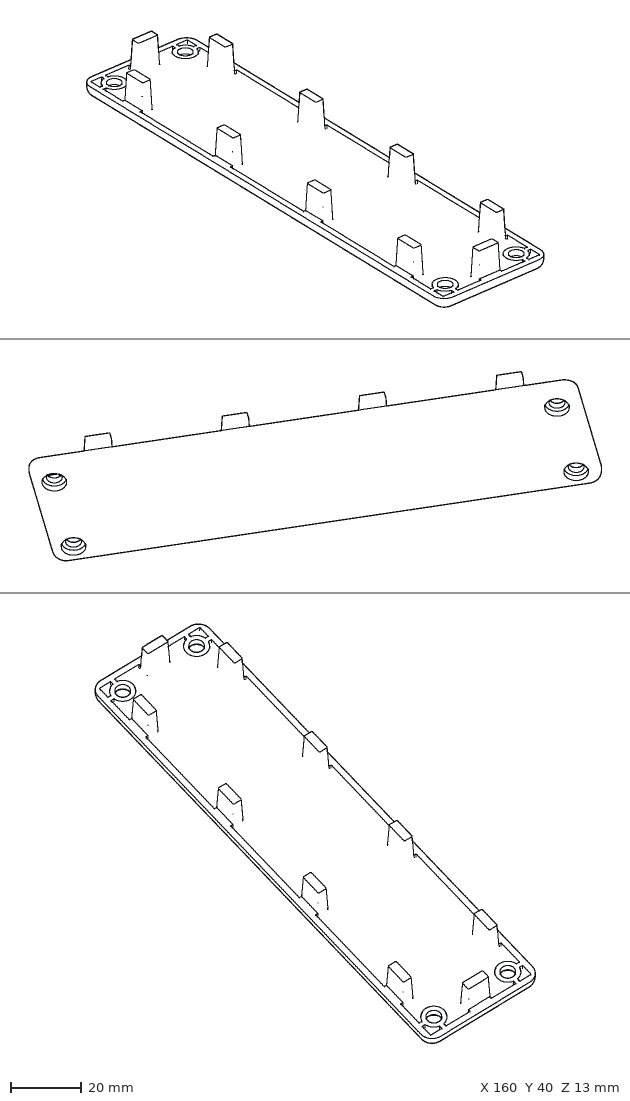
import cadquery as cq

length = 160.0
width = 40.0
plate_height = 4.0
corner_radius = 4.0
bottom_fillet = 2.5

rim_width = 2.0
floor_z = 3.0
foot_fillet = 0.3

boss_diameter = 7.5
hole_diameter = 4.5
counterbore_diameter = 7.0
counterbore_depth = 2.0
hole_inset_x = 6.75
hole_inset_y = 6.75
web_width = 1.5

total_height = 13.0
tab_base_width = 8.1
tab_base_thickness = 3.7
tab_draft = 0.4
tab_edge_fillet = 0.3
tab_inset = 4.6
tab_pitch = 40.0
tabs_per_long_side = 4
bridge_width = 7.7

level_tolerance = 0.01

rim_overlap = rim_width / 2

tab_height = total_height - floor_z
pocket_depth = plate_height - floor_z
hole_x = length / 2 - hole_inset_x
hole_y = width / 2 - hole_inset_y
tab_x = length / 2 - tab_inset
tab_y = width / 2 - tab_inset


def make_plate():
    """Rounded plate with a pocket that leaves a rim all around."""
    plate = (
        cq.Workplane("XY")
        .box(length, width, plate_height, centered=(True, True, False))
        .edges("|Z")
        .fillet(corner_radius)
        .faces("<Z")
        .edges()
        .fillet(bottom_fillet)
    )
    pocket = (
        cq.Workplane("XY", origin=(0, 0, floor_z))
        .rect(length - 2 * rim_width, width - 2 * rim_width)
        .extrude(pocket_depth)
    )
    return plate.cut(pocket)


def make_boss(side_x, side_y):
    """Boss in one corner, with a web to each of the two nearby rim walls."""
    x = side_x * hole_x
    y = side_y * hole_y
    level = cq.Workplane("XY", origin=(x, y, floor_z))
    boss = level.circle(boss_diameter / 2).extrude(pocket_depth)
    reach_x = hole_inset_x - rim_overlap
    reach_y = hole_inset_y - rim_overlap
    web_x = level.center(side_x * reach_x / 2, 0).rect(reach_x, web_width).extrude(pocket_depth)
    web_y = level.center(0, side_y * reach_y / 2).rect(web_width, reach_y).extrude(pocket_depth)
    return boss.union(web_x).union(web_y)


def make_tab():
    """Tab at the origin, wide along X, joined to a rim wall on its +Y side."""
    tab = (
        cq.Workplane("XY", origin=(0, 0, floor_z))
        .rect(tab_base_width, tab_base_thickness)
        .workplane(offset=tab_height)
        .rect(tab_base_width - 2 * tab_draft, tab_base_thickness - 2 * tab_draft)
        .loft(ruled=True)
        .edges("not #Z")
        .fillet(tab_edge_fillet)
    )
    bridge_length = tab_inset - rim_overlap
    bridge = (
        cq.Workplane("XY", origin=(0, bridge_length / 2, floor_z))
        .rect(bridge_width, bridge_length)
        .extrude(pocket_depth)
    )
    return tab.union(bridge)


def turned(shape, angle):
    return shape.rotate((0, 0, 0), (0, 0, 1), angle)


result = make_plate()

for side_x in (-1, 1):
    for side_y in (-1, 1):
        result = result.union(make_boss(side_x, side_y))

tab = make_tab()
for index in range(tabs_per_long_side):
    x = (index - (tabs_per_long_side - 1) / 2) * tab_pitch
    result = result.union(tab.translate((x, tab_y, 0)))
    result = result.union(turned(tab, 180).translate((x, -tab_y, 0)))

result = result.union(turned(tab, 90).translate((-tab_x, 0, 0)))
result = result.union(turned(tab, -90).translate((tab_x, 0, 0)))

floor_slab = cq.selectors.BoxSelector(
    (-length, -width, floor_z - level_tolerance),
    (length, width, floor_z + level_tolerance),
)
result = result.faces(floor_slab).edges().fillet(foot_fillet)

result = (
    result.faces("<Z")
    .workplane(origin=(0, 0, 0))
    .rect(2 * hole_x, 2 * hole_y, forConstruction=True)
    .vertices()
    .cboreHole(hole_diameter, counterbore_diameter, counterbore_depth)
)